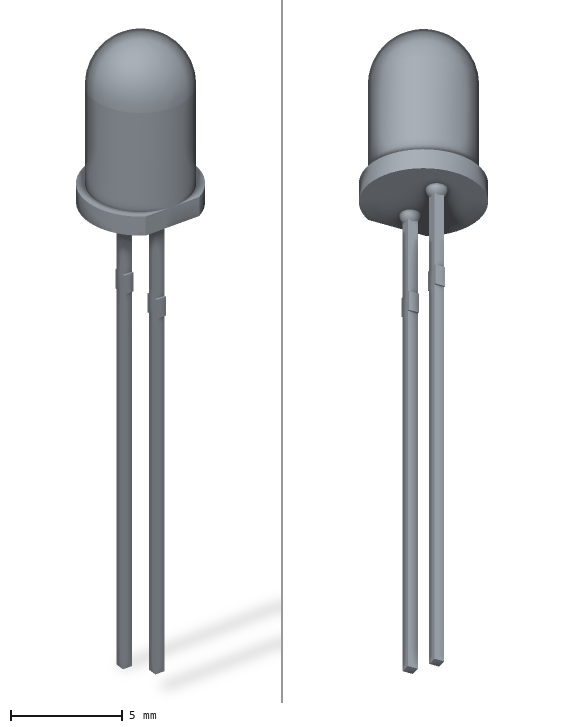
import cadquery as cq
import math

lens_diameter = 5.0
lens_radius = lens_diameter / 2
body_height = 8.7
dome_base_z = body_height - lens_radius

flange_diameter = 5.8
flange_height = 1.0
flat_x = lens_radius

lead_pitch = 2.54
lead_width = 0.5
anode_length = 25.0
cathode_length = 24.0

stop_width = 0.7
stop_height = 1.0
stop_top_depth = 4.25

bead_radius = 0.5


def make_lens():
    """Cylinder and dome as one revolved profile."""
    dome_mid = lens_radius * math.cos(math.radians(45))
    return (
        cq.Workplane("XZ")
        .lineTo(lens_radius, 0)
        .lineTo(lens_radius, dome_base_z)
        .threePointArc((dome_mid, dome_base_z + dome_mid), (0, body_height))
        .close()
        .revolve(360, (0, 0, 0), (0, 1, 0))
    )


def make_flange():
    """Round flange trimmed by a plane tangent to the lens."""
    disc = cq.Workplane("XY").circle(flange_diameter / 2).extrude(flange_height)
    trim = (
        cq.Workplane("XY")
        .box(flange_diameter, flange_diameter, flange_height, centered=(False, True, False))
        .translate((flat_x, 0, 0))
    )
    return disc.cut(trim)


def make_lead(x, length):
    """Square lead with its stand-off stop and resin bead."""
    wire = cq.Workplane("XY").rect(lead_width, lead_width).extrude(-length)
    stop = (
        cq.Workplane("XY")
        .workplane(offset=-stop_top_depth)
        .rect(stop_width, lead_width)
        .extrude(-stop_height)
    )
    bead = cq.Workplane("XY").sphere(bead_radius, angle1=-90, angle2=0)
    return wire.union(stop).union(bead).translate((x, 0, 0))


result = make_lens().union(make_flange())
for lead_x, lead_length in (
    (-lead_pitch / 2, anode_length),
    (lead_pitch / 2, cathode_length),
):
    result = result.union(make_lead(lead_x, lead_length))